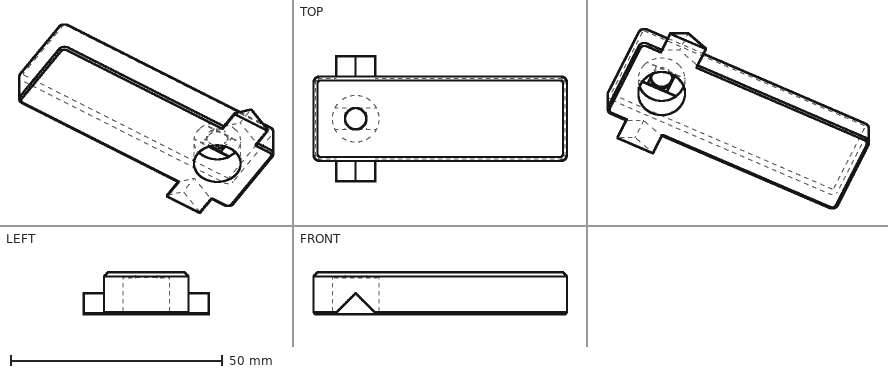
import cadquery as cq

length = 60.0
width = 20.0
height = 10.0
corner_radius = 1.5
top_chamfer = 1.0
bottom_chamfer = 0.5

bar_length = 29.6
bar_peak = 5.0
bar_foot = 0.35
bar_half_width = bar_peak - bar_foot

hole_x = 10.0
hole_diameter = 5.0
recess_diameter = 11.05
hole_land = 1.05
roof_step = 0.2

square_top = height - hole_land
slot_top = square_top - roof_step
recess_top = slot_top - roof_step


def make_body():
    block = cq.Workplane("XY").box(length, width, height, centered=(False, True, False))
    block = block.edges("|Z").fillet(corner_radius)
    return block.faces(">Z").chamfer(top_chamfer).faces("<Z").chamfer(bottom_chamfer)


def make_bar():
    section = [
        (hole_x - bar_half_width, 0),
        (hole_x + bar_half_width, 0),
        (hole_x + bar_half_width, bar_foot),
        (hole_x, bar_peak),
        (hole_x - bar_half_width, bar_foot),
    ]
    return cq.Workplane("XZ").polyline(section).close().extrude(bar_length / 2, both=True)


def make_stepped_hole():
    base = cq.Workplane("XY").center(hole_x, 0)
    hole = base.circle(hole_diameter / 2).extrude(height)
    square = base.rect(hole_diameter, hole_diameter).extrude(square_top)
    recess = base.circle(recess_diameter / 2).extrude(recess_top)
    slot = (
        base.circle(recess_diameter / 2)
        .extrude(slot_top)
        .intersect(base.rect(recess_diameter, hole_diameter).extrude(slot_top))
    )
    return hole.union(square).union(slot).union(recess)


result = make_body().union(make_bar()).cut(make_stepped_hole())